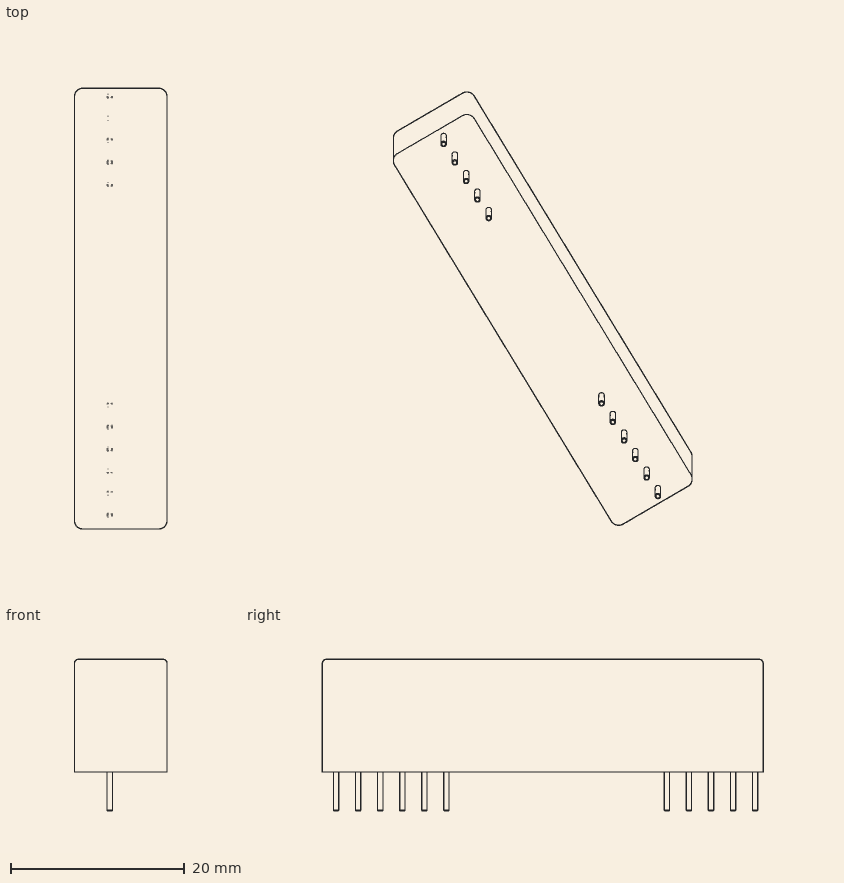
import cadquery as cq

case_width = 10.7
case_length = 50.8
overall_height = 17.5
pin_length = 4.5
case_height = overall_height - pin_length
corner_radius = 1.0
top_edge_radius = 0.5

pin_diameter = 0.64
pin_tip_chamfer = 0.1
pin_pitch = 2.54
pin_row_x = -1.27
first_pin_inset = 1.6
pin_positions = 20
front_pins = 6
rear_pins = 5
first_pin_y = first_pin_inset - case_length / 2


def make_case():
    """Solid block with rounded vertical corners and a rounded top rim; its underside lies at Z = 0."""
    block = cq.Workplane("XY").box(case_width, case_length, case_height, centered=(True, True, False))
    return block.edges("|Z").fillet(corner_radius).faces(">Z").edges().fillet(top_edge_radius)


def make_pin(y):
    """Round pin hanging from the underside, chamfered at its tip."""
    pin = cq.Workplane("XY").center(pin_row_x, y).circle(pin_diameter / 2).extrude(-pin_length)
    return pin.faces("<Z").edges().chamfer(pin_tip_chamfer)


occupied_positions = [
    *range(front_pins),
    *range(pin_positions - rear_pins, pin_positions),
]

result = make_case()
for position in occupied_positions:
    result = result.union(make_pin(first_pin_y + position * pin_pitch))